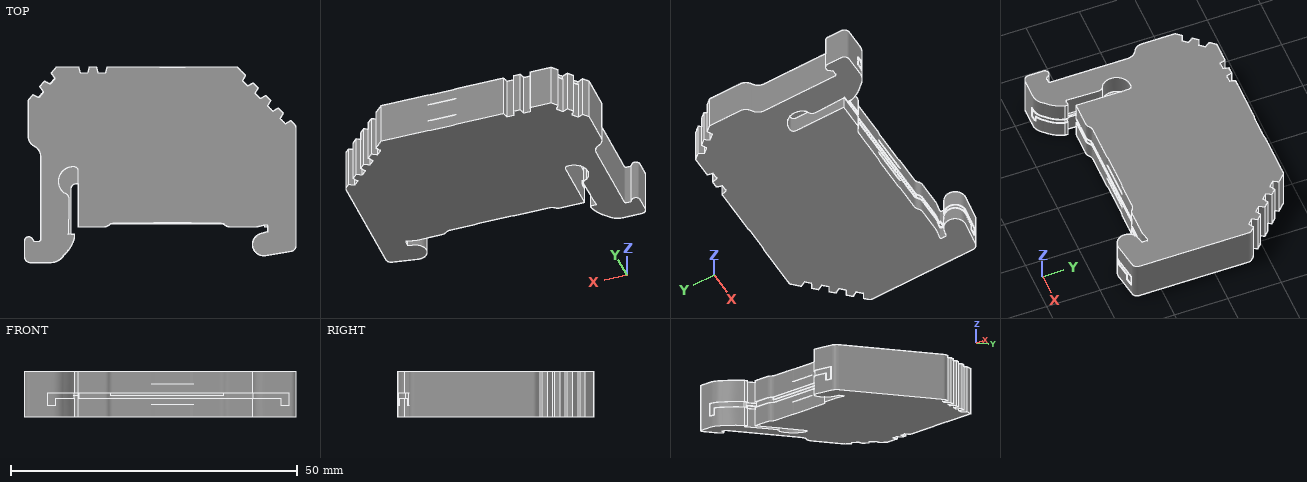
import cadquery as cq
import math

LENGTH = 47.34
HEIGHT = 34.16
THICKNESS = 8.0

BODY_LEFT = 0.63
LEG_LEFT = 2.81
SHOULDER_MIDDLE = 20.3
SHOULDER_RADIUS = 2.0
LEFT_CHAMFER_TOP_X = 5.59
LEFT_CHAMFER_BOTTOM_Y = 28.3
RIGHT_CHAMFER_TOP_X = 37.07
RIGHT_CHAMFER_FILLET = 1.0
BODY_BOTTOM = 6.23
MIDDLE_BOTTOM = 6.9

NOTCH_MOUTH = 1.82
NOTCH_FLOOR = 1.28
NOTCH_DEPTH = 1.05
NOTCH_PITCH = 3.1
TOP_NOTCH_X = 10.39
TOP_NOTCH_COUNT = 2
LEFT_NOTCH_START = 2.35
LEFT_NOTCH_COUNT = 2
RIGHT_NOTCH_START = 3.03
RIGHT_NOTCH_COUNT = 4
NOTCH_STEP_DEPTH = 0.1
NOTCH_STEP_HEIGHT = 0.65

FOOT_CORNER = 1.05
FOOT_SEAT = 3.73
FOOT_SEAT_FILLET = 0.3
FOOT_LIP_RADIUS = 0.75
FOOT_LIP_TOP = 4.55
FOOT_LIP_GAP = 0.2
FOOT_ROUND_START_X = 4.53
FOOT_ROUND_END = (6.87, 1.27)
FOOT_FLANK_MIDDLE = (8.0, 2.62)
FOOT_TIP_X = 8.77
FOOT_TIP_TOP = 5.0
FOOT_TIP_BOTTOM = 4.4

SLOT_RIGHT = 9.37
SLOT_LEFT_BOTTOM = 7.66
SLOT_LEFT_TOP = 7.81
SLOT_NECK_Y = 11.0
BULB_START = (6.87, 12.2)
BULB_LEFT = 5.94
BULB_MIDDLE_Y = 14.3
BULB_TOP = 16.75
BULB_FILLET = 0.7
WEB_SLOT_LEFT = 8.13
WEB_SLOT_TOP = 13.73
WEB_SLOT_RADIUS = 0.85

LEFT_RAMP = (13.9, 15.6)
RIGHT_RAMP = (34.06, 35.78)

HOOK_RADIUS = 2.0
HOOK_X = 41.72
HOOK_Y = 3.2
HOOK_SLOPE = math.radians(9.5)
HOOK_CORNER = 0.84
THROAT_RIGHT = 42.4
THROAT_LOW = 5.45
THROAT_HIGH = 6.6
THROAT_RAMP_X = 40.45
THROAT_FILLET = 0.3

GROOVE_BOTTOM = 3.28
GROOVE_TOP = 4.22
GROOVE_DEPTH = 0.15
GROOVE_LEFT = 4.02
GROOVE_RIGHT = 46.1
GROOVE_LEG_WIDTH = 1.42
GROOVE_LEG_BOTTOM = 2.03
WEB_BOTTOM = 3.75
WEB_PROUD = 0.1
STRIP_LEFT = 15.0
STRIP_RIGHT = 34.65

LABEL_DEPTH = 0.1
LABEL_HEIGHT = 2.2
LABEL_CENTER_X = 25.8
LABEL_WIDTH = 7.25
LABEL_END_SLOPE = 0.5
TOP_LABEL_WIDTH = 5.2


def prism(sketch, bottom, top):
    """Extrude a closed XY wire between two Z levels."""
    return sketch.extrude(top - bottom).translate((0, 0, bottom))


def block(x_range, y_range, z_range):
    """Axis-aligned box between the given limits."""
    size = [limits[1] - limits[0] for limits in (x_range, y_range, z_range)]
    corner = (x_range[0], y_range[0], z_range[0])
    return cq.Workplane("XY").box(*size, centered=False).translate(corner)


def s_curve(path, start, end, tangent):
    """Join two parallel edges with two equal arcs, then run on by the vector `tangent`."""
    middle = ((start[0] + end[0]) / 2, (start[1] + end[1]) / 2)
    path = path.lineTo(*start).tangentArcPoint(middle, relative=False)
    return path.tangentArcPoint(end, relative=False).lineTo(end[0] + tangent[0], end[1] + tangent[1])


def outline():
    """Closed outline of the housing, drawn counterclockwise from the spring foot."""
    stub = 0.1
    ramp_bottom_left, ramp_top_left = LEFT_RAMP
    ramp_top_right, ramp_bottom_right = RIGHT_RAMP
    diagonal = math.sqrt(0.5)

    path = cq.Workplane("XY").moveTo(FOOT_CORNER, 0)
    path = path.lineTo(FOOT_ROUND_START_X, 0).tangentArcPoint(FOOT_ROUND_END, relative=False)
    path = path.threePointArc(FOOT_FLANK_MIDDLE, (FOOT_TIP_X, FOOT_TIP_BOTTOM))
    path = path.lineTo(FOOT_TIP_X, FOOT_TIP_TOP)
    path = path.lineTo(SLOT_LEFT_BOTTOM, FOOT_TIP_TOP).lineTo(SLOT_LEFT_TOP, SLOT_NECK_Y)
    path = path.tangentArcPoint(BULB_START, relative=False)
    path = path.threePointArc((BULB_LEFT, BULB_MIDDLE_Y), (SLOT_RIGHT - BULB_FILLET, BULB_TOP))
    path = path.tangentArcPoint((SLOT_RIGHT, BULB_TOP - BULB_FILLET), relative=False)
    path = path.lineTo(SLOT_RIGHT, BODY_BOTTOM)
    path = s_curve(path, (ramp_bottom_left, BODY_BOTTOM), (ramp_top_left, MIDDLE_BOTTOM), (stub, 0))
    path = s_curve(path, (ramp_top_right, MIDDLE_BOTTOM), (ramp_bottom_right, BODY_BOTTOM), (stub, 0))
    path = path.lineTo(THROAT_RAMP_X, BODY_BOTTOM).lineTo(THROAT_RIGHT - THROAT_FILLET, THROAT_HIGH)
    path = path.tangentArcPoint((THROAT_RIGHT, THROAT_HIGH - THROAT_FILLET), relative=False)
    path = path.lineTo(THROAT_RIGHT, THROAT_LOW)
    hook_sine = HOOK_RADIUS * math.sin(HOOK_SLOPE)
    hook_cosine = HOOK_RADIUS * math.cos(HOOK_SLOPE)
    path = path.lineTo(HOOK_X - hook_sine, HOOK_Y + hook_cosine)
    hook_end = (HOOK_X + hook_sine, HOOK_Y - hook_cosine)
    path = path.threePointArc((HOOK_X - HOOK_RADIUS, HOOK_Y), hook_end)
    corner_x = LENGTH - HOOK_CORNER
    corner_y = hook_end[1] + (corner_x - hook_end[0]) * math.tan(HOOK_SLOPE)
    path = path.lineTo(corner_x, corner_y)
    corner_rise = HOOK_CORNER * (math.tan(HOOK_SLOPE) + 1 / math.cos(HOOK_SLOPE))
    path = path.tangentArcPoint((LENGTH, corner_y + corner_rise), relative=False)
    chamfer_corner_y = HEIGHT - (LENGTH - RIGHT_CHAMFER_TOP_X)
    setback = RIGHT_CHAMFER_FILLET * math.tan(math.pi / 8)
    path = path.lineTo(LENGTH, chamfer_corner_y - setback)
    path = path.tangentArcPoint(
        (LENGTH - setback * diagonal, chamfer_corner_y + setback * diagonal), relative=False
    )
    path = path.lineTo(RIGHT_CHAMFER_TOP_X, HEIGHT).lineTo(LEFT_CHAMFER_TOP_X, HEIGHT)
    path = path.lineTo(BODY_LEFT, LEFT_CHAMFER_BOTTOM_Y)
    half_step = (LEG_LEFT - BODY_LEFT) / 2
    half_drop = math.sqrt(2 * SHOULDER_RADIUS * half_step - half_step**2)
    path = s_curve(
        path,
        (BODY_LEFT, SHOULDER_MIDDLE + half_drop),
        (LEG_LEFT, SHOULDER_MIDDLE - half_drop),
        (0, -stub),
    )
    path = path.lineTo(LEG_LEFT, FOOT_SEAT + FOOT_SEAT_FILLET)
    path = path.tangentArcPoint((LEG_LEFT - FOOT_SEAT_FILLET, FOOT_SEAT), relative=False)
    path = path.lineTo(2 * FOOT_LIP_RADIUS + FOOT_LIP_GAP, FOOT_SEAT)
    path = path.lineTo(FOOT_LIP_RADIUS * (1 + diagonal), FOOT_LIP_TOP - FOOT_LIP_RADIUS * (1 - diagonal))
    path = path.threePointArc((FOOT_LIP_RADIUS, FOOT_LIP_TOP), (0, FOOT_LIP_TOP - FOOT_LIP_RADIUS))
    path = path.lineTo(0, FOOT_CORNER).tangentArcPoint((FOOT_CORNER, 0), relative=False)
    return path.close()


def notch(center, outward_angle, depth, bottom):
    """Tapered notch cutter centred on an outer edge; its flanks keep one taper at any depth."""
    overshoot = 0.3
    taper = (NOTCH_MOUTH - NOTCH_FLOOR) / 2 / NOTCH_DEPTH
    half_mouth = NOTCH_MOUTH / 2 + taper * overshoot
    half_floor = NOTCH_MOUTH / 2 - taper * depth
    points = [
        (-half_mouth, overshoot),
        (-half_floor, -depth),
        (half_floor, -depth),
        (half_mouth, overshoot),
    ]
    cutter = prism(cq.Workplane("XY").polyline(points).close(), bottom, THICKNESS)
    return cutter.rotate((0, 0, 0), (0, 0, 1), outward_angle - 90).translate((*center, 0))


def cut_notches(body):
    """Notches in the top edge and in both chamfers."""
    for index in range(TOP_NOTCH_COUNT):
        center = (TOP_NOTCH_X + index * NOTCH_PITCH, HEIGHT)
        body = body.cut(notch(center, 90, NOTCH_DEPTH, 0))

    for index in range(RIGHT_NOTCH_COUNT):
        offset = (RIGHT_NOTCH_START + index * NOTCH_PITCH) * math.sqrt(0.5)
        center = (RIGHT_CHAMFER_TOP_X + offset, HEIGHT - offset)
        body = body.cut(notch(center, 45, NOTCH_DEPTH, 0))

    chamfer_angle = math.atan2(HEIGHT - LEFT_CHAMFER_BOTTOM_Y, LEFT_CHAMFER_TOP_X - BODY_LEFT)
    outward = math.degrees(chamfer_angle) + 90
    for index in range(LEFT_NOTCH_COUNT):
        offset = LEFT_NOTCH_START + index * NOTCH_PITCH
        center = (
            LEFT_CHAMFER_TOP_X - offset * math.cos(chamfer_angle),
            HEIGHT - offset * math.sin(chamfer_angle),
        )
        body = body.cut(notch(center, outward, NOTCH_DEPTH, 0))
        step = notch(center, outward, NOTCH_DEPTH + NOTCH_STEP_DEPTH, THICKNESS - NOTCH_STEP_HEIGHT)
        body = body.cut(step)
    return body


def cut_seam_groove(body):
    """Shallow groove following the underside, with a downward leg at each end."""
    core = outline().offset2D(-GROOVE_DEPTH).extrude(THICKNESS)
    rim = outline().extrude(THICKNESS).cut(core)
    depth_range = (0, MIDDLE_BOTTOM + 2 * GROOVE_DEPTH)
    zone = block((GROOVE_LEFT, GROOVE_RIGHT), depth_range, (GROOVE_BOTTOM, GROOVE_TOP))
    for leg_left in (GROOVE_LEFT, GROOVE_RIGHT - GROOVE_LEG_WIDTH):
        leg_x = (leg_left, leg_left + GROOVE_LEG_WIDTH)
        leg_y = (0, FOOT_SEAT)
        zone = zone.union(block(leg_x, leg_y, (GROOVE_LEG_BOTTOM, GROOVE_TOP)))
    return body.cut(rim.intersect(zone))


def add_web(body):
    """Thin web showing inside the slot, along the raised middle and in the throat."""
    web = block((BULB_LEFT, SLOT_RIGHT), (FOOT_TIP_TOP, BULB_TOP), (WEB_BOTTOM, GROOVE_TOP))
    slot = (
        cq.Workplane("XY")
        .moveTo(WEB_SLOT_LEFT, 0)
        .lineTo(SLOT_RIGHT, 0)
        .lineTo(SLOT_RIGHT, WEB_SLOT_TOP)
        .lineTo(WEB_SLOT_LEFT + WEB_SLOT_RADIUS, WEB_SLOT_TOP)
        .tangentArcPoint((WEB_SLOT_LEFT, WEB_SLOT_TOP - WEB_SLOT_RADIUS), relative=False)
        .close()
        .extrude(THICKNESS)
    )
    strip = block(
        (STRIP_LEFT, STRIP_RIGHT),
        (MIDDLE_BOTTOM - WEB_PROUD, MIDDLE_BOTTOM + 2 * GROOVE_DEPTH),
        (WEB_BOTTOM, GROOVE_TOP),
    )
    throat_corner = block(
        (THROAT_RIGHT - 2 * THROAT_FILLET, THROAT_RIGHT + GROOVE_DEPTH),
        (BODY_BOTTOM, THROAT_HIGH + GROOVE_DEPTH),
        (WEB_BOTTOM, GROOVE_TOP),
    )
    return body.union(web.cut(slot)).union(strip).union(throat_corner)


def label_recess(edge_y, inward, width, bottom):
    """Shallow recess with sloped ends in a long edge."""
    half = width / 2
    floor_half = half - LABEL_END_SLOPE
    floor_y = edge_y + inward * LABEL_DEPTH
    points = [
        (LABEL_CENTER_X - half, edge_y),
        (LABEL_CENTER_X - floor_half, floor_y),
        (LABEL_CENTER_X + floor_half, floor_y),
        (LABEL_CENTER_X + half, edge_y),
    ]
    return prism(cq.Workplane("XY").polyline(points).close(), bottom, bottom + LABEL_HEIGHT)


def cut_labels(body):
    """Recesses beside both flat faces, on the underside and on the top edge."""
    for bottom in (0, THICKNESS - LABEL_HEIGHT):
        body = body.cut(label_recess(MIDDLE_BOTTOM, 1, LABEL_WIDTH, bottom))
        body = body.cut(label_recess(HEIGHT, -1, TOP_LABEL_WIDTH, bottom))
    return body


housing = outline().extrude(THICKNESS)
housing = cut_notches(housing)
housing = cut_seam_groove(housing)
housing = add_web(housing)
result = cut_labels(housing)